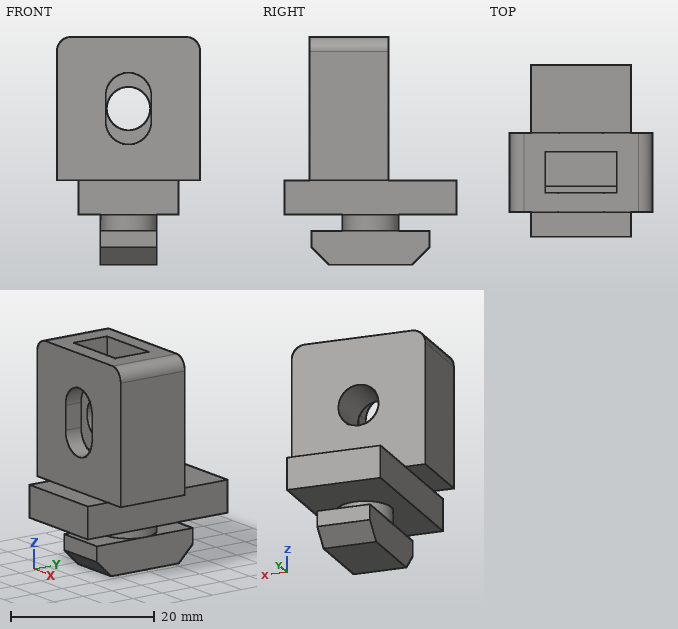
import cadquery as cq

foot_height = 4.75
foot_chamfer = 2.45
stem_height = 2.3
plate_height = 4.77
body_height = 20.0
plate_bottom = foot_height + stem_height
body_bottom = plate_bottom + plate_height
body_top = body_bottom + body_height

stem_diameter = 7.9
foot_width = stem_diameter
foot_length = 16.47
plate_width = 14.0
plate_length = 24.0

body_width = 20.0
body_front = -8.52
body_back = 2.5
body_corner_radius = 2.0

slot_width = 6.35
slot_height = 10.0
hole_diameter = 6.0
hole_z = body_bottom + body_height / 2
pocket_width = 10.0
pocket_front = -5.85
pocket_back = -0.1
pocket_floor = hole_z + slot_height / 2
gap_back = -4.95
gap_floor = hole_z - slot_height / 2


def box_between(width, y_min, y_max, z_min, z_max):
    """Box centred on X = 0, spanning the given Y and Z ranges."""
    box = cq.Workplane("XY").box(width, y_max - y_min, z_max - z_min, centered=(True, False, False))
    return box.translate((0, y_min, z_min))


def make_foot():
    foot = box_between(foot_width, -foot_length / 2, foot_length / 2, 0, foot_height)
    return foot.faces("<Z").edges("|X").chamfer(foot_chamfer)


def make_stem():
    stem = cq.Workplane("XY").circle(stem_diameter / 2).extrude(stem_height)
    return stem.translate((0, 0, foot_height))


def make_plate():
    return box_between(plate_width, -plate_length / 2, plate_length / 2, plate_bottom, body_bottom)


def make_body():
    body = box_between(body_width, body_front, body_back, body_bottom, body_top)
    return body.faces(">Z").edges("|Y").fillet(body_corner_radius)


def cut_openings(body):
    pocket = box_between(pocket_width, pocket_front, pocket_back, pocket_floor, body_top)
    gap = box_between(pocket_width, pocket_front, gap_back, gap_floor, body_top)

    front_face = cq.Workplane("XZ", origin=(0, body_front, hole_z))
    slot = front_face.slot2D(slot_height, slot_width, 90).extrude(body_front - pocket_front)
    hole = front_face.circle(hole_diameter / 2).extrude(body_front - body_back)
    return body.cut(pocket).cut(gap).cut(slot).cut(hole)


result = make_foot().union(make_stem()).union(make_plate()).union(cut_openings(make_body()))